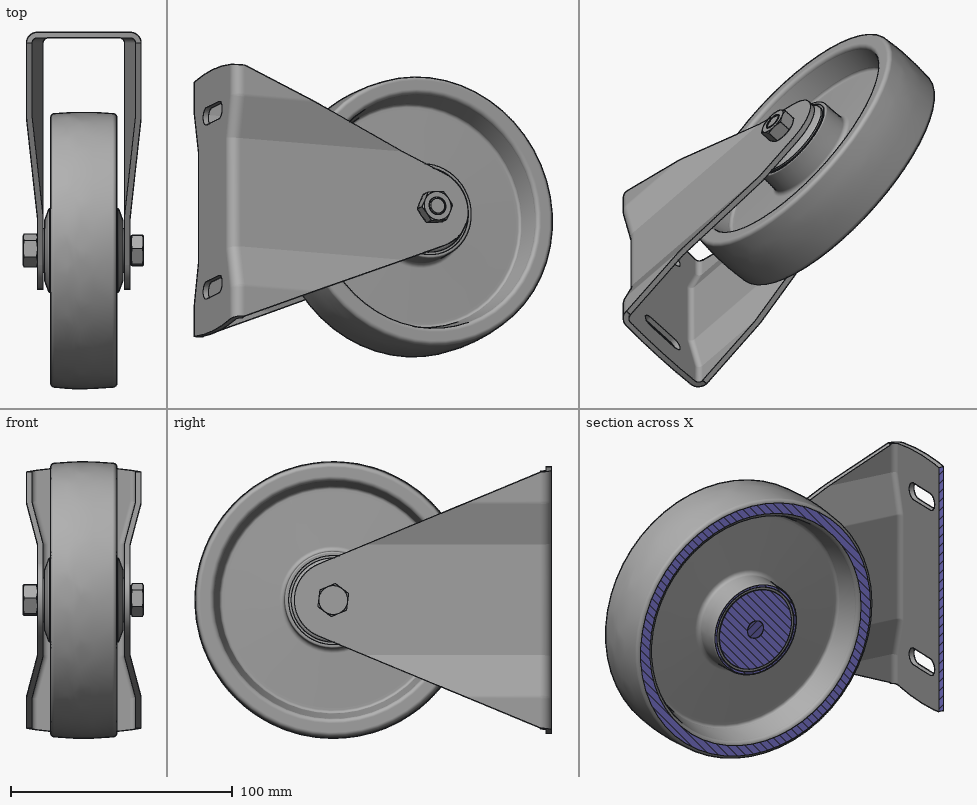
import cadquery as cq
import math


SHEET = 2.5
PLATE_BACK_Y = 98.5
PLATE_MID_HEIGHT = 60.2
PLATE_SIDE_HEIGHT = 57.8
CHEEK_WIDE_X = 25.9
CHEEK_NARROW_X = 20.9
KINK_WIDE_Z = 43.8
KINK_NARROW_Z = 25.0
BEND_OUTER_R = 5.0
NOSE_R = 17.5
SLOT_Z = 40.0
SLOT_LENGTH = 22.5
SLOT_WIDTH = 8.0
MARGIN = 8.0

WHEEL_R = 62.5
TREAD_EDGE_R = 61.8
RIM_HALF_WIDTH = 15.0
TREAD_FILLET = 2.0
RIM_FACE_INNER_R = 55.7
RIM_FILLET = 2.1
RIM_WALL_FOOT_R = 51.3
RIM_WALL_FILLET = 1.5
WEB_OUTER_R = 48.9
WEB_OUTER_HALF = 1.6
WEB_INNER_HALF = 2.4
HUB_FOOT_R = 24.1
HUB_BASE_R = 22.0
HUB_END_R = 21.7
HUB_END_FILLET = 0.6
HUB_RECESS_R = 20.1
HUB_RECESS = 0.3
FOOT_FILLET = 2.1
CAP_R = 19.0
CAP_RIM_X = 15.5
CAP_TOP_R = 18.3
CAP_TOP_X = 16.0
CONE_TOP_R = 13.5
CONE_TOP_X = 17.7
SPACER_R = 10.0

HEX_FLATS = 13.0
HEX_TURN = 7.0
BOLT_R = 4.0
HEAD_END_X = 26.9
HEAD_WASHER = 0.5
NUT_END_X = 27.4
BOLT_CHAMFER = 0.6
HEX_BEVEL = 0.5

CHEEK_INNER_X = CHEEK_NARROW_X - SHEET
HEX_CORNERS = HEX_FLATS / math.cos(math.pi / 6)


def turned(outline):
    """Solid turned about the axle; the sketch plane's x runs along the axle, its y is the radius."""
    return outline.close().revolve(360, (0, 0, 0), (1, 0, 0))


def channel_blank(inset):
    """Kinked block between the cheeks' faces; inset 0 follows the outside, SHEET the inside."""
    lean = math.atan2(CHEEK_WIDE_X - CHEEK_NARROW_X, KINK_WIDE_Z - KINK_NARROW_Z)
    shift = inset * math.tan(lean / 2)
    wide = CHEEK_WIDE_X - inset
    narrow = CHEEK_NARROW_X - inset
    wide_z = KINK_WIDE_Z + shift
    narrow_z = KINK_NARROW_Z + shift
    end_z = PLATE_MID_HEIGHT + MARGIN
    back_y = PLATE_BACK_Y - inset
    half = [(wide, -end_z), (wide, -wide_z), (narrow, -narrow_z),
            (narrow, narrow_z), (wide, wide_z), (wide, end_z)]
    mirrored = [(-x, z) for x, z in reversed(half)]
    block = (cq.Workplane("XZ", origin=(0, back_y, 0)).polyline(half + mirrored).close()
             .extrude(back_y + NOSE_R + MARGIN))
    kink_r = BEND_OUTER_R - inset
    kink_x, kink_z = (narrow, narrow_z) if inset else (wide, wide_z)
    for sx in (-1, 1):
        for sz in (-1, 1):
            middle_of_blank = (sx * kink_x, PLATE_BACK_Y / 2, sz * kink_z)
            kink = cq.selectors.NearestToPointSelector(middle_of_blank)
            block = block.edges("|Y").edges(kink).fillet(kink_r)
    return block.faces(">Y").edges("not(|X)").fillet(BEND_OUTER_R - inset)


def cheek_outline():
    """Side outline: full-height plate, then edges running tangent onto the round nose."""
    bend_y = PLATE_BACK_Y - BEND_OUTER_R
    reach = math.hypot(bend_y, PLATE_SIDE_HEIGHT)
    angle = math.atan2(PLATE_SIDE_HEIGHT, bend_y) + math.acos(NOSE_R / reach)
    touch_y = NOSE_R * math.cos(angle)
    touch_z = NOSE_R * math.sin(angle)
    full = PLATE_MID_HEIGHT + MARGIN
    half_length = CHEEK_WIDE_X + MARGIN
    return (cq.Workplane("YZ").moveTo(PLATE_BACK_Y, -full).lineTo(PLATE_BACK_Y, full)
            .lineTo(bend_y, full).lineTo(bend_y, PLATE_SIDE_HEIGHT).lineTo(touch_y, touch_z)
            .threePointArc((-NOSE_R, 0), (touch_y, -touch_z))
            .lineTo(bend_y, -PLATE_SIDE_HEIGHT).lineTo(bend_y, -full).close()
            .extrude(half_length, both=True))


def plate_outline():
    """Front outline with arched top and bottom edges."""
    x, side, mid = CHEEK_WIDE_X, PLATE_SIDE_HEIGHT, PLATE_MID_HEIGHT
    return (cq.Workplane("XZ").moveTo(-x, side).threePointArc((0, mid), (x, side))
            .lineTo(x, -side).threePointArc((0, -mid), (-x, -side)).close()
            .extrude(PLATE_BACK_Y + MARGIN, both=True))


def make_bracket():
    bracket = channel_blank(0).cut(channel_blank(SHEET))
    bracket = bracket.intersect(cheek_outline()).intersect(plate_outline())
    slots = (cq.Workplane("XZ", origin=(0, PLATE_BACK_Y, 0))
             .pushPoints([(0, SLOT_Z), (0, -SLOT_Z)]).slot2D(SLOT_LENGTH, SLOT_WIDTH).extrude(2 * SHEET))
    axle_hole = cq.Workplane("YZ").circle(BOLT_R).extrude(CHEEK_WIDE_X, both=True)
    return bracket.cut(slots).cut(axle_hole)


def rim_blank():
    """Full-width disc with a crowned tread and rounded tread edges."""
    face_x = RIM_HALF_WIDTH
    tread_x = RIM_HALF_WIDTH - TREAD_FILLET
    face_r = TREAD_EDGE_R - TREAD_FILLET
    return turned(cq.Workplane("XY").moveTo(-face_x, BOLT_R).lineTo(-face_x, face_r)
                  .radiusArc((-tread_x, TREAD_EDGE_R), TREAD_FILLET)
                  .threePointArc((0, WHEEL_R), (tread_x, TREAD_EDGE_R))
                  .radiusArc((face_x, face_r), TREAD_FILLET)
                  .lineTo(face_x, BOLT_R))


def side_pocket():
    """Annular pocket between hub and rim, open towards +X."""
    face_x = RIM_HALF_WIDTH
    foot_r = RIM_WALL_FOOT_R - RIM_WALL_FILLET
    return turned(cq.Workplane("XY").moveTo(face_x, RIM_FACE_INNER_R)
                  .radiusArc((face_x - RIM_FILLET, RIM_FACE_INNER_R - RIM_FILLET), RIM_FILLET)
                  .lineTo(WEB_OUTER_HALF + RIM_WALL_FILLET, RIM_WALL_FOOT_R)
                  .radiusArc((WEB_OUTER_HALF, foot_r), -RIM_WALL_FILLET)
                  .lineTo(WEB_OUTER_HALF, WEB_OUTER_R)
                  .lineTo(WEB_INNER_HALF, HUB_FOOT_R)
                  .radiusArc((WEB_INNER_HALF + FOOT_FILLET, HUB_BASE_R), -FOOT_FILLET)
                  .lineTo(face_x - HUB_END_FILLET, HUB_END_R)
                  .radiusArc((face_x, HUB_END_R - HUB_END_FILLET), HUB_END_FILLET))


def hub_recess():
    """Shallow recess in the +X hub face."""
    return (cq.Workplane("YZ", origin=(RIM_HALF_WIDTH - HUB_RECESS, 0, 0)).circle(HUB_RECESS_R)
            .circle(CAP_R).extrude(HUB_RECESS))


def bearing_cap():
    """Conical cap and spacer on the +X side, reaching the cheek."""
    root_x = RIM_HALF_WIDTH - HUB_RECESS
    return turned(cq.Workplane("XY").moveTo(root_x, BOLT_R).lineTo(root_x, CAP_R)
                  .lineTo(CAP_RIM_X, CAP_R).lineTo(CAP_TOP_X, CAP_TOP_R)
                  .lineTo(CONE_TOP_X, CONE_TOP_R).lineTo(CONE_TOP_X, SPACER_R)
                  .lineTo(CHEEK_INNER_X, SPACER_R).lineTo(CHEEK_INNER_X, BOLT_R))


def make_wheel():
    wheel = rim_blank()
    for feature in (side_pocket(), hub_recess()):
        wheel = wheel.cut(feature).cut(feature.mirror("YZ"))
    cap = bearing_cap()
    return wheel.union(cap).union(cap.mirror("YZ"))


def hex_prism(start_x, end_x, turn):
    """Hexagon along X whose corners are bevelled at both ends; a corner sits at angle turn from +Y."""
    prism = (cq.Workplane("YZ", origin=(start_x, 0, 0)).polygon(6, HEX_CORNERS)
             .extrude(end_x - start_x).rotate((0, 0, 0), (1, 0, 0), turn))
    flat_r, corner_r = HEX_FLATS / 2, HEX_CORNERS / 2
    bevelled = turned(cq.Workplane("XY").moveTo(start_x, 0).lineTo(start_x, flat_r)
                      .lineTo(start_x + HEX_BEVEL, corner_r).lineTo(end_x - HEX_BEVEL, corner_r)
                      .lineTo(end_x, flat_r).lineTo(end_x, 0))
    return prism.intersect(bevelled)


def make_bolt():
    head = hex_prism(CHEEK_NARROW_X + HEAD_WASHER, HEAD_END_X, 90 - HEX_TURN)
    washer = cq.Workplane("YZ", origin=(CHEEK_NARROW_X, 0, 0)).circle(HEX_FLATS / 2).extrude(HEAD_WASHER)
    shank = (cq.Workplane("YZ", origin=(-NUT_END_X, 0, 0)).circle(BOLT_R)
             .extrude(NUT_END_X + CHEEK_NARROW_X + HEAD_WASHER)
             .faces("<X").chamfer(BOLT_CHAMFER))
    return shank.union(washer).union(head)


def make_nut():
    bore = cq.Workplane("YZ").circle(BOLT_R).extrude(-NUT_END_X)
    return hex_prism(-NUT_END_X, -CHEEK_NARROW_X, 180 - HEX_TURN).cut(bore)


bracket = make_bracket()
wheel = make_wheel()
bolt = make_bolt()
nut = make_nut()

result = cq.Compound.makeCompound([bracket.val(), wheel.val(), bolt.val(), nut.val()])